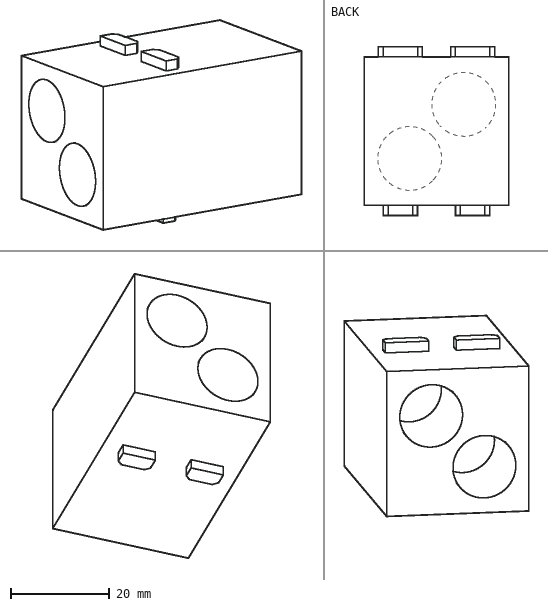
import cadquery as cq

body_width = 29.4
body_length = 49.0
overall_height = 34.4
tab_height = 2.1
body_height = overall_height - 2 * tab_height

tab_spacing = body_width / 2
tab_front = 17.5
tab_length = 3.8
tab_corner = 1.0
upper_tab_width = 9.0
lower_tab_width = 7.0

bore_diameter = 13.0
bore_offset = 5.5
bore_depth = body_length / 2


def make_body():
    return cq.Workplane("XY").box(body_width, body_length, body_height, centered=(True, False, True))


def make_tab(width, x_centre, z_bottom):
    """Upright tab whose two rear vertical edges are chamfered."""
    tab = cq.Workplane("XY").box(width, tab_length, tab_height, centered=(True, False, False))
    tab = tab.faces(">Y").edges("|Z").chamfer(tab_corner)
    return tab.translate((x_centre, tab_front, z_bottom))


def make_bore(x_centre, z_centre):
    """Cylinder running into the block from the front face."""
    bore = cq.Workplane("XZ").circle(bore_diameter / 2).extrude(-bore_depth)
    return bore.translate((x_centre, 0, z_centre))


result = make_body()

for side in (-1, 1):
    tab_x = side * tab_spacing / 2
    result = result.union(make_tab(upper_tab_width, tab_x, body_height / 2))
    result = result.union(make_tab(lower_tab_width, tab_x, -overall_height / 2))

for side in (-1, 1):
    result = result.cut(make_bore(side * bore_offset, -side * bore_offset))